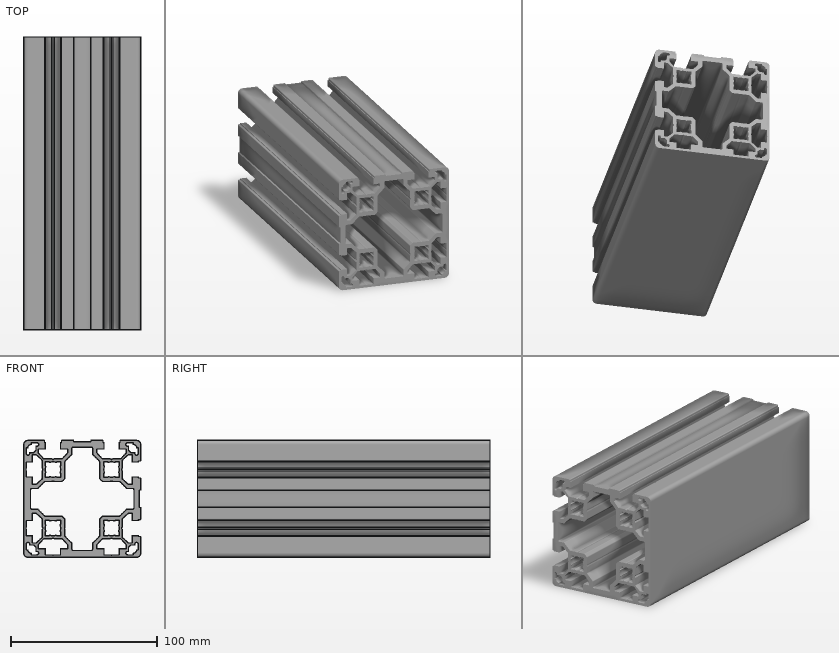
import cadquery as cq
import math

side = 80.0
length = 200.0
half = side / 2
corner_radius = 3.0

slot_pitch = 40.0
slot_centers = (-slot_pitch / 2, slot_pitch / 2)
mouth_width = 10.2
mouth_relief = 0.5
mouth_relief_depth = 1.5
lip_edge_radius = 0.5
lip_depth = 6.0
slot_width = 20.0
slot_wall_end = 8.5
slot_floor = 12.5
floor_width = 12.8
skin = 1.8

notch_width = 1.8
notch_depth = 0.5
skin_notch_depth = 0.2
post_notch_depth = 0.2

core_size = 10.5
rib_offset = 2.2
rib_flank = 0.5

arm_half_width = 7.0
arm_wall = 4.8
arm_straight_end = 9.5
arm_corner_radius = 0.8
arm_edge_radius = 0.8
post_face = 11.8
post_chamfer = 2.0
post_edge_radius = 1.0
web_foot_radius = 1.0
web_foot = half - arm_straight_end - (post_face - arm_half_width)

groove_top_width = 12.2
groove_bottom_width = 11.5
groove_depth = 1.0

hollow_step = 5.2
hollow_shoulder = 2.8
hollow_arc_mid = 3.5
hollow_tip = 10.2
hollow_tip_start = 9.0
hollow_tip_edge = 4.0
hollow_inner = 8.5
hollow_bevel = 6.8


def extruded(sketch):
    """Extrude a closed XZ outline over the full length, centred on Y."""
    return sketch.extrude(length / 2, both=True)


def prism(points):
    """Full-length body with a polygonal XZ outline."""
    return extruded(cq.Workplane("XZ").polyline(points).close())


def edge_at(x, z):
    """Select the lengthwise edge that passes through (x, z)."""
    reach = 0.02
    return cq.selectors.BoxSelector(
        (x - reach, -length, z - reach),
        (x + reach, length, z + reach),
    )


def turned(body, quarter):
    """Turn a body about Y; quarter turns 1, 2 and 3 take the top to +X, -Z and -X."""
    return body.rotate((0, 0, 0), (0, 1, 0), 90 * quarter)


def mirrored(points):
    """Complete a right half outline with its reflection across the vertical axis."""
    return points + [(-x, z) for x, z in reversed(points)]


def notch(x, z, depth):
    """V-shaped scribe mark cut downward from height z, or upward if the depth is negative."""
    return prism([(x - notch_width / 2, z), (x + notch_width / 2, z), (x, z - depth)])


def slot(x_center, is_open):
    """T-slot below the top face; a closed slot stops at the skin."""
    mouth = mouth_width / 2
    if is_open:
        entry = [
            (mouth + mouth_relief, 0),
            (mouth + mouth_relief, mouth_relief_depth),
            (mouth, mouth_relief_depth),
        ]
    else:
        entry = [(mouth, skin)]
    right_side = entry + [
        (mouth, lip_depth),
        (slot_width / 2, lip_depth),
        (slot_width / 2, slot_wall_end),
        (floor_width / 2, slot_floor),
    ]
    body = prism([(x_center + x, half - depth) for x, depth in mirrored(right_side)])
    body = body.union(notch(x_center, half - slot_floor, notch_depth))
    if not is_open:
        body = body.union(notch(x_center, half - skin, -skin_notch_depth))
    return body


def groove():
    """Shallow tapered groove along the middle of the top face."""
    return prism(mirrored([
        (groove_top_width / 2, half),
        (groove_bottom_width / 2, half - groove_depth),
    ]))


def cavity_arm():
    """Upper arm of the central cavity, from the part's axis out to the end wall."""
    edge_radii = [
        (post_face, post_face + post_chamfer, post_edge_radius),
        (post_face, web_foot, web_foot_radius),
        (arm_half_width, half - arm_straight_end, arm_edge_radius),
        (arm_half_width, half - arm_wall, arm_corner_radius),
    ]
    right_side = [(post_face + post_chamfer, 0), (post_face + post_chamfer, post_face)]
    right_side += [(x, z) for x, z, radius in edge_radii]
    body = prism(mirrored(right_side))
    for x, z, radius in edge_radii:
        body = body.edges(edge_at(x, z) + edge_at(-x, z)).fillet(radius)
    post_notch = turned(notch(-slot_pitch / 2, post_face, -post_notch_depth), 1)
    return body.union(post_notch).union(post_notch.mirror("YZ"))


def core():
    """Post core: a square with a bore, whose walls keep a rib on each side of the bore."""
    edge = core_size / 2
    rib_outer = rib_offset + rib_flank
    rib_tip = math.sqrt(edge**2 - rib_offset**2)
    pocket = prism([
        (0, 0),
        (rib_offset, rib_tip),
        (rib_outer, edge),
        (edge, edge),
        (edge, rib_outer),
        (rib_tip, rib_offset),
    ])
    body = extruded(cq.Workplane("XZ").circle(edge))
    for quarter in range(4):
        body = body.union(turned(pocket, quarter))
    return body


def corner_hollow():
    """Hollow of the upper left corner, symmetric about the corner's diagonal."""
    def at(u, v):
        return (u - half, half - v)

    tip_middle = (skin + hollow_tip_edge) / 2
    return extruded(
        cq.Workplane("XZ")
        .moveTo(*at(hollow_step, skin))
        .lineTo(*at(hollow_step, hollow_shoulder))
        .threePointArc(at(hollow_arc_mid, hollow_arc_mid), at(hollow_shoulder, hollow_step))
        .lineTo(*at(skin, hollow_step))
        .lineTo(*at(skin, hollow_tip_start))
        .threePointArc(at(tip_middle, hollow_tip), at(hollow_tip_edge, hollow_tip_start))
        .lineTo(*at(hollow_tip_edge, hollow_inner))
        .lineTo(*at(hollow_bevel, hollow_inner))
        .lineTo(*at(hollow_inner, hollow_bevel))
        .lineTo(*at(hollow_inner, hollow_tip_edge))
        .lineTo(*at(hollow_tip_start, hollow_tip_edge))
        .threePointArc(at(hollow_tip, tip_middle), at(hollow_tip_start, skin))
        .close()
    )


bar = extruded(cq.Workplane("XZ").rect(side, side)).edges("|Y").fillet(corner_radius)

for quarter in range(4):
    is_open = quarter in (0, 1)
    for x_center in slot_centers:
        bar = bar.cut(turned(slot(x_center, is_open), quarter))
    if is_open:
        bar = bar.cut(turned(groove(), quarter))
    bar = bar.cut(turned(cavity_arm(), quarter))
    bar = bar.cut(turned(corner_hollow(), quarter))

for x_center in slot_centers:
    for offset in (-mouth_width / 2 - mouth_relief, mouth_width / 2 + mouth_relief):
        lip = x_center + offset
        bar = bar.edges(edge_at(lip, half) + edge_at(half, lip)).fillet(lip_edge_radius)

for x_center in slot_centers:
    for z_center in slot_centers:
        bar = bar.cut(core().translate((x_center, 0, z_center)))

result = bar